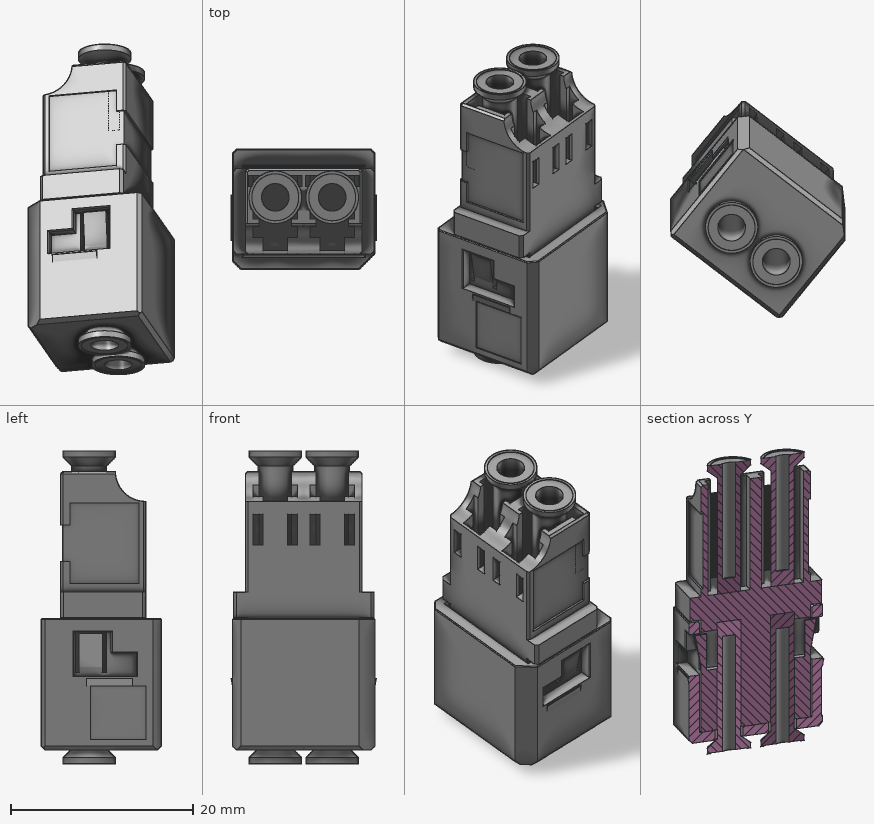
import cadquery as cq

TOTAL_HEIGHT = 34.3
PORT_PITCH = 6.25
PORT_CENTRES = (-PORT_PITCH / 2, PORT_PITCH / 2)
SIDES = (-1, 1)

FLANGE_RADIUS = 2.88
FLANGE_THICKNESS = 0.7
NECK_RADIUS = 1.92
PLUG_LENGTH = 15.45
PLUG_BORE_RADIUS = 1.5
PLUG_BORE_DEPTH = 13.72
FACE_RECESS_RADIUS = 2.57
FACE_RECESS_DEPTH = 0.07

CORE_HALF_WIDTH = 6.4
CORE_FRONT = -6.2
CORE_BACK = 3.15
CORE_BOTTOM = 2.75
CORE_TOP = 32.05
CORE_EDGE_CHAMFER = 0.27
CORE_TOP_CHAMFER = 0.25
SCOOP_RADIUS = 3.25
SCOOP_CENTRE_Y = -6.15

EAR_HALF_WIDTH = 7.72
EAR_BOTTOM = 16.02
EAR_TOP = 18.83
EAR_CHAMFER = 0.35

SOCKET_FLOOR = TOTAL_HEIGHT - PLUG_LENGTH
SOCKET_BACK = 2.4
SOCKET_HALF_WIDTH = 2.45
SIDE_GROOVE_FRONT = 1.15
SIDE_GROOVE_FLOOR = 24.0
SIDE_GROOVE_HALF_WIDTH = 2.9
NECK_SLOT_BACK = -2.35
NECK_SLOT_HALF_WIDTH = 1.8
CROSS_SLOT_BACK = -3.22
KEY_SLOT_BACK = -4.4
KEY_SLOT_HALF_WIDTH = 1.35
KEY_SLOT_FRONT = -5.83
LATCH_WINDOW_BOTTOM = 24.0
LATCH_WINDOW_TOP = 27.35

PANEL_DEPTH = 0.25
PANEL_FRONT = -5.45
PANEL_BACK = 2.13
PANEL_BOTTOM = 19.75
PANEL_TOP = 28.6
BACK_BAND_DEPTH = 0.25
BACK_BAND_BOTTOM = 22.2
BACK_BAND_TOP = 26.17

TONGUE_FRONT = -1.45
TONGUE_BACK = 1.1
TONGUE_SLOT_FRONT = -1.92
TONGUE_SLOT_BACK = 1.5
TONGUE_SLOT_BOTTOM = 10.0
TONGUE_SLOT_TOP = 14.58
TONGUE_RAMP_BOTTOM = 10.55
TONGUE_TOP = 14.3
TONGUE_THICKNESS = 0.7
TONGUE_PROTRUSION = 0.7

HOUSING_HALF_WIDTH = 7.82
HOUSING_FRONT = -7.92
HOUSING_BACK = 5.28
HOUSING_BOTTOM = 1.5
HOUSING_TOP = 15.9
LEFT_CORNER = 0.93
RIGHT_CORNER = 1.75
BACK_CORNER = 0.45
BOTTOM_CHAMFER = 0.45
TOP_CHAMFER = 0.1
CAVITY_CLEARANCE = 0.15
LEAD_IN = 0.25
PLUG_HOLE_RADIUS = 2.1

WINDOW_BACK = 1.8
WINDOW_STEP_Y = -2.55
WINDOW_FRONT = -5.3
WINDOW_BOTTOM = 9.57
WINDOW_STEP_Z = 12.28
WINDOW_TOP = 14.58
WINDOW_BEVEL = 0.15

TAB_PROTRUSION = 7.95 - HOUSING_HALF_WIDTH
TAB_FRONT = -4.75
TAB_BACK = 0.27
TAB_BOTTOM = 8.55
TAB_TOP = 9.35
LABEL_FRONT = -6.2
LABEL_BACK = -0.15
LABEL_BOTTOM = 2.65
LABEL_DEPTH = 0.15


def block(x_range, y_range, z_range):
    """Box between two limits along each axis."""
    (x0, x1), (y0, y1), (z0, z1) = (sorted(limits) for limits in (x_range, y_range, z_range))
    return cq.Workplane("XY").box(x1 - x0, y1 - y0, z1 - z0, centered=False).translate((x0, y0, z0))


def side_prism(points, x_start, x_end):
    """Outline of (Y, Z) points extruded along X."""
    return cq.Workplane("YZ", origin=(x_start, 0, 0)).polyline(points).close().extrude(x_end - x_start)


def ramp_prism(points, y_start, y_end):
    """Outline of (X, Z) points extruded along Y."""
    return cq.Workplane("XZ", origin=(0, y_end, 0)).polyline(points).close().extrude(y_end - y_start)


def make_plug(x, pointing_up):
    """Hollow dust plug: flange with a 45 degree underside and a straight neck."""
    cone_end = FLANGE_THICKNESS + FLANGE_RADIUS - NECK_RADIUS
    profile = [
        (FACE_RECESS_RADIUS, 0),
        (FLANGE_RADIUS, 0),
        (FLANGE_RADIUS, FLANGE_THICKNESS),
        (NECK_RADIUS, cone_end),
        (NECK_RADIUS, PLUG_LENGTH),
        (0, PLUG_LENGTH),
        (0, PLUG_BORE_DEPTH),
        (PLUG_BORE_RADIUS, PLUG_BORE_DEPTH),
        (PLUG_BORE_RADIUS, FACE_RECESS_DEPTH),
        (FACE_RECESS_RADIUS, FACE_RECESS_DEPTH),
    ]
    plug = cq.Workplane("XZ").polyline(profile).close().revolve(360, (0, 0, 0), (0, 1, 0))
    if pointing_up:
        plug = plug.rotate((0, 0, 0), (1, 0, 0), 180).translate((0, 0, TOTAL_HEIGHT))
    return plug.translate((x, 0, 0))


def core_blank():
    """Column with chamfered edges, side ears and the round scoop at the top front."""
    core_y = (CORE_FRONT, CORE_BACK)
    column = block((-CORE_HALF_WIDTH, CORE_HALF_WIDTH), core_y, (CORE_BOTTOM, CORE_TOP))
    column = column.edges("|Z").chamfer(CORE_EDGE_CHAMFER)
    column = column.faces(">Z").edges("not <Y").chamfer(CORE_TOP_CHAMFER)
    ears = block((-EAR_HALF_WIDTH, EAR_HALF_WIDTH), core_y, (EAR_BOTTOM, EAR_TOP))
    ears = ears.edges("|Z").chamfer(EAR_CHAMFER)
    scoop = (
        cq.Workplane("YZ", origin=(-CORE_HALF_WIDTH, 0, 0))
        .center(SCOOP_CENTRE_Y, CORE_TOP)
        .circle(SCOOP_RADIUS)
        .extrude(2 * CORE_HALF_WIDTH)
    )
    return column.union(ears).cut(scoop)


def upper_socket(x):
    """Stepped socket that receives a plug, with a keyed opening towards the front."""
    steps = [
        (SIDE_GROOVE_HALF_WIDTH, SIDE_GROOVE_FRONT, SOCKET_BACK, SIDE_GROOVE_FLOOR),
        (SOCKET_HALF_WIDTH, NECK_SLOT_BACK, SOCKET_BACK, SOCKET_FLOOR),
        (NECK_SLOT_HALF_WIDTH, CROSS_SLOT_BACK, SOCKET_BACK, SOCKET_FLOOR),
        (SOCKET_HALF_WIDTH, KEY_SLOT_BACK, CROSS_SLOT_BACK, SOCKET_FLOOR),
        (KEY_SLOT_HALF_WIDTH, KEY_SLOT_FRONT, CROSS_SLOT_BACK, SOCKET_FLOOR),
    ]
    socket = cq.Workplane("XY")
    for half_width, front, back, floor in steps:
        socket = socket.union(block((x - half_width, x + half_width), (front, back), (floor, CORE_TOP)))
    return socket


def latch_window(x, side):
    """Slot through the front wall beside the key slot of a socket."""
    x_range = (x + side * KEY_SLOT_HALF_WIDTH, x + side * SOCKET_HALF_WIDTH)
    return block(x_range, (CORE_FRONT, CROSS_SLOT_BACK), (LATCH_WINDOW_BOTTOM, LATCH_WINDOW_TOP))


def side_panel(side):
    """Shallow recess on one side of the core."""
    x_range = (side * (CORE_HALF_WIDTH - PANEL_DEPTH), side * CORE_HALF_WIDTH)
    panel = block(x_range, (PANEL_FRONT, PANEL_BACK), (PANEL_BOTTOM, PANEL_TOP))
    opening = block(x_range, (PANEL_BACK, CORE_BACK), (BACK_BAND_BOTTOM, BACK_BAND_TOP))
    return panel.union(opening)


def tongue_slot(side):
    """Space around a snap tongue, open to the lower plug bore."""
    outside = side * CORE_HALF_WIDTH
    inside = side * PORT_PITCH / 2
    return block(
        (inside, outside),
        (TONGUE_SLOT_FRONT, TONGUE_SLOT_BACK),
        (TONGUE_SLOT_BOTTOM, TONGUE_SLOT_TOP),
    )


def snap_tongue(side):
    """Upright tongue whose outer face leans outwards to a catch at the top."""
    inside = side * (CORE_HALF_WIDTH - TONGUE_THICKNESS)
    outside = side * CORE_HALF_WIDTH
    catch = side * (CORE_HALF_WIDTH + TONGUE_PROTRUSION)
    profile = [
        (inside, TONGUE_SLOT_BOTTOM),
        (outside, TONGUE_SLOT_BOTTOM),
        (outside, TONGUE_RAMP_BOTTOM),
        (catch, TONGUE_TOP),
        (inside, TONGUE_TOP),
    ]
    return ramp_prism(profile, TONGUE_FRONT, TONGUE_BACK)


def make_core():
    core = core_blank()
    for x in PORT_CENTRES:
        core = core.cut(upper_socket(x))
        for side in SIDES:
            core = core.cut(latch_window(x, side))
    back_band = block(
        (-CORE_HALF_WIDTH, CORE_HALF_WIDTH),
        (CORE_BACK - BACK_BAND_DEPTH, CORE_BACK),
        (BACK_BAND_BOTTOM, BACK_BAND_TOP),
    )
    core = core.cut(back_band)
    for side in SIDES:
        core = core.cut(side_panel(side)).cut(tongue_slot(side)).union(snap_tongue(side))
    lower_bores = (
        cq.Workplane("XY", origin=(0, 0, CORE_BOTTOM))
        .pushPoints([(x, 0) for x in PORT_CENTRES])
        .circle(NECK_RADIUS)
        .extrude(PLUG_LENGTH - CORE_BOTTOM)
    )
    return core.cut(lower_bores).solids()


def housing_blank():
    """Outer block; the corner cuts run straight down through the base bevel."""
    shell = block(
        (-HOUSING_HALF_WIDTH, HOUSING_HALF_WIDTH),
        (HOUSING_FRONT, HOUSING_BACK),
        (HOUSING_BOTTOM, HOUSING_TOP),
    )
    bevelled_base = shell.faces("<Z").edges().chamfer(BOTTOM_CHAMFER)
    shell = shell.edges("|Z and <X and <Y").chamfer(LEFT_CORNER)
    shell = shell.edges("|Z and >X and <Y").chamfer(RIGHT_CORNER)
    shell = shell.edges("|Z and >Y").chamfer(BACK_CORNER)
    shell = shell.faces(">Z").edges().chamfer(TOP_CHAMFER)
    return shell.intersect(bevelled_base)


def core_cavity():
    """Pocket for the core with a bevelled mouth."""
    half_width = CORE_HALF_WIDTH + CAVITY_CLEARANCE
    y_range = (CORE_FRONT - CAVITY_CLEARANCE, CORE_BACK + CAVITY_CLEARANCE)
    cavity = block((-half_width, half_width), y_range, (CORE_BOTTOM, HOUSING_TOP))
    mouth_width = 2 * (half_width + LEAD_IN)
    mouth_depth = y_range[1] - y_range[0] + 2 * LEAD_IN
    mouth = (
        cq.Workplane("XY", origin=(0, sum(y_range) / 2, HOUSING_TOP))
        .rect(mouth_width, mouth_depth)
        .extrude(-LEAD_IN, taper=45)
    )
    return cavity.union(mouth)


def window_outline(inset):
    """L-shaped (Y, Z) outline, drawn in from every edge but the sill."""
    return [
        (WINDOW_BACK - inset, WINDOW_BOTTOM),
        (WINDOW_BACK - inset, WINDOW_TOP - inset),
        (WINDOW_STEP_Y + inset, WINDOW_TOP - inset),
        (WINDOW_STEP_Y + inset, WINDOW_STEP_Z - inset),
        (WINDOW_FRONT + inset, WINDOW_STEP_Z - inset),
        (WINDOW_FRONT + inset, WINDOW_BOTTOM),
    ]


def side_window(side):
    """Opening through one housing side into the cavity, with a bevelled rim."""
    wall = side * HOUSING_HALF_WIDTH
    opening = side_prism(window_outline(WINDOW_BEVEL), side * CORE_HALF_WIDTH, wall)
    rim = (
        cq.Workplane("YZ", origin=(wall, 0, 0))
        .polyline(window_outline(0))
        .close()
        .extrude(-side * WINDOW_BEVEL, taper=45)
    )
    return opening.union(rim)


def grip_tab(side):
    """Wedge on one housing side, thickest at its top."""
    wall = side * HOUSING_HALF_WIDTH
    profile = [
        (wall, TAB_BOTTOM),
        (wall + side * TAB_PROTRUSION, TAB_TOP),
        (wall, TAB_TOP),
    ]
    return ramp_prism(profile, TAB_FRONT, TAB_BACK)


def make_housing():
    housing = housing_blank().cut(core_cavity())
    plug_holes = (
        cq.Workplane("XY", origin=(0, 0, HOUSING_BOTTOM))
        .pushPoints([(x, 0) for x in PORT_CENTRES])
        .circle(PLUG_HOLE_RADIUS)
        .extrude(CORE_BOTTOM - HOUSING_BOTTOM)
    )
    housing = housing.cut(plug_holes)
    for side in SIDES:
        housing = housing.cut(side_window(side)).union(grip_tab(side))
    label = block(
        (-HOUSING_HALF_WIDTH, -HOUSING_HALF_WIDTH + LABEL_DEPTH),
        (LABEL_FRONT, LABEL_BACK),
        (LABEL_BOTTOM, TAB_BOTTOM),
    )
    return housing.cut(label).solids()


housing = make_housing()
core = make_core()
plugs = [make_plug(x, pointing_up) for pointing_up in (False, True) for x in PORT_CENTRES]

result = cq.Compound.makeCompound([housing.val(), core.val(), *[plug.val() for plug in plugs]])